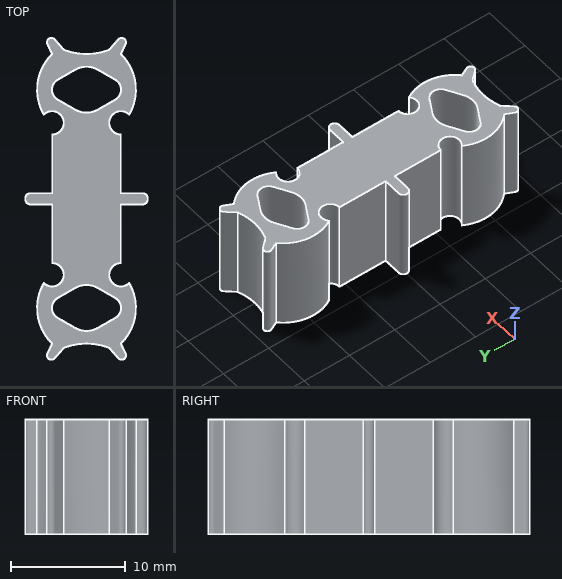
import cadquery as cq
import math

length = 28.0
height = 10.0
tab_span = 10.7

bar_half_width = 3.0
tab_thickness = 1.0

head_offset = 9.5
head_radius = 4.3

notch_radius = 1.0
notch_offset = 6.6

window_mid_radius = 2.0
window_corner_radius = window_mid_radius / 2
window_corner_offset = bar_half_width - window_corner_radius

end_face_offset = 12.6
horn_tip_radius = 0.4
horn_tip = (3.05, length / 2 - horn_tip_radius)
horn_inner_base = (1.95, 12.95)
horn_outer_base = (
    bar_half_width,
    head_offset + math.sqrt(head_radius**2 - bar_half_width**2),
)
end_face_rise = horn_inner_base[1] - end_face_offset
end_face_radius = (horn_inner_base[0]**2 + end_face_rise**2) / (2 * end_face_rise)


def cylinder(x, y, radius):
    return cq.Workplane("XY").center(x, y).circle(radius).extrude(height)


def tangent_point(base, side):
    """Point where a line from base touches the horn tip; side +1 is left of the line, -1 right."""
    dx = base[0] - horn_tip[0]
    dy = base[1] - horn_tip[1]
    angle = math.atan2(dy, dx) + side * math.acos(horn_tip_radius / math.hypot(dx, dy))
    return (
        horn_tip[0] + horn_tip_radius * math.cos(angle),
        horn_tip[1] + horn_tip_radius * math.sin(angle),
    )


def make_horn():
    flank = (
        cq.Workplane("XY")
        .polyline([
            (horn_inner_base[0], end_face_offset),
            horn_outer_base,
            tangent_point(horn_outer_base, 1),
            horn_tip,
            tangent_point(horn_inner_base, -1),
            horn_inner_base,
        ])
        .close()
        .extrude(height)
    )
    return flank.union(cylinder(*horn_tip, horn_tip_radius))


def make_window():
    slope = math.acos((window_mid_radius - window_corner_radius) / window_corner_offset)
    mid_x = window_mid_radius * math.cos(slope)
    mid_y = window_mid_radius * math.sin(slope)
    corner_x = window_corner_offset + window_corner_radius * math.cos(slope)
    corner_y = window_corner_radius * math.sin(slope)
    return (
        cq.Workplane("XY")
        .center(0, head_offset)
        .moveTo(-mid_x, mid_y)
        .threePointArc((0, window_mid_radius), (mid_x, mid_y))
        .lineTo(corner_x, corner_y)
        .threePointArc((bar_half_width, 0), (corner_x, -corner_y))
        .lineTo(mid_x, -mid_y)
        .threePointArc((0, -window_mid_radius), (-mid_x, -mid_y))
        .lineTo(-corner_x, -corner_y)
        .threePointArc((-bar_half_width, 0), (-corner_x, corner_y))
        .close()
        .extrude(height)
    )


def make_half():
    """The +Y half of the part without its tabs."""
    half = (
        cq.Workplane("XY")
        .rect(2 * bar_half_width, head_offset)
        .extrude(height)
        .translate((0, head_offset / 2, 0))
        .union(cylinder(0, head_offset, head_radius))
        .cut(cylinder(0, end_face_offset + end_face_radius, end_face_radius))
    )
    horn = make_horn()
    half = half.union(horn).union(horn.mirror("YZ"))
    for side in (-1, 1):
        half = half.cut(cylinder(side * bar_half_width, notch_offset, notch_radius))
    return half.cut(make_window())


half = make_half()
tabs = cq.Workplane("XY").slot2D(tab_span, tab_thickness).extrude(height)
result = half.union(half.mirror("XZ")).union(tabs).translate((0, 0, -height / 2))